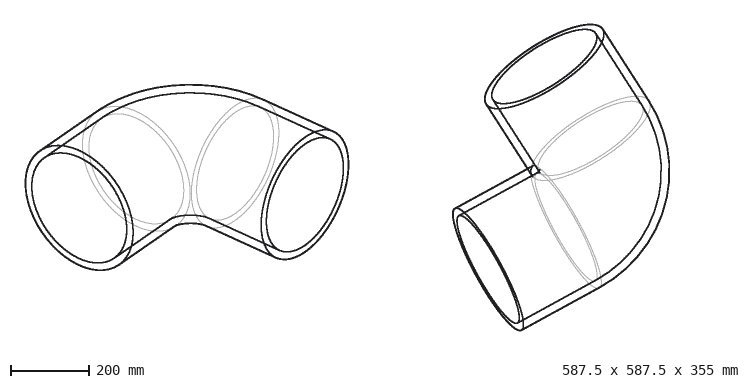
import cadquery as cq

OUTER_DIAMETER = 355.0
INNER_DIAMETER = 312.8
BEND_RADIUS = 179.5
LEG_LENGTH = 230.5

END_DISTANCE = BEND_RADIUS + LEG_LENGTH


def centreline():
    """Leg along Y, quarter bend into +X, then leg along X."""
    return (
        cq.Workplane("XY")
        .moveTo(0, -END_DISTANCE)
        .lineTo(0, -BEND_RADIUS)
        .radiusArc((BEND_RADIUS, 0), BEND_RADIUS)
        .lineTo(END_DISTANCE, 0)
    )


wall_section = (
    cq.Workplane("XZ", origin=(0, -END_DISTANCE, 0))
    .circle(OUTER_DIAMETER / 2)
    .circle(INNER_DIAMETER / 2)
)

result = wall_section.sweep(centreline())